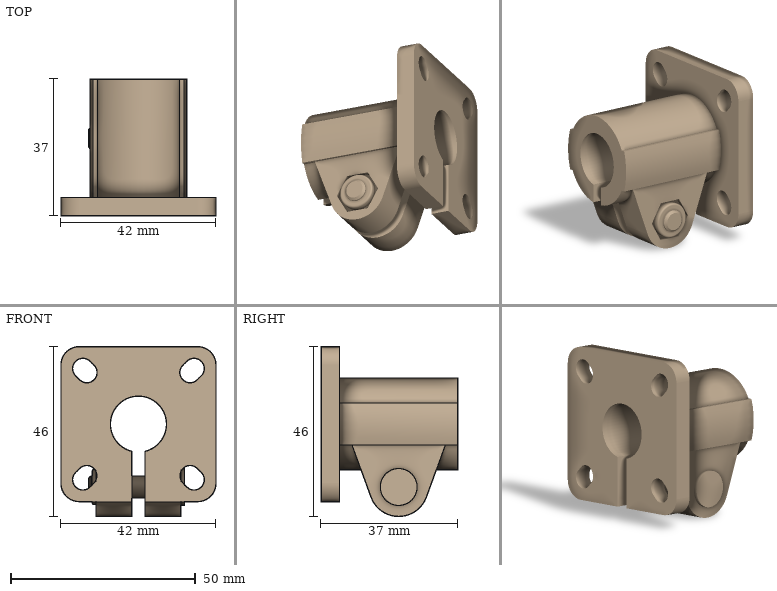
import cadquery as cq
import math

PLATE_SIZE = 42.0
PLATE_THICKNESS = 5.0
PLATE_CORNER_RADIUS = 5.0

SLOT_OFFSET = 14.5
SLOT_WIDTH = 5.5
SLOT_CENTRE_SPACING = 1.5
SLOT_ANGLE = 45.0

TOTAL_LENGTH = 37.0
BARREL_DIAMETER = 25.0
BORE_DIAMETER = 15.1
SPLIT_WIDTH = 3.5

RIB_HALF_SPAN = 13.15
RIB_EDGE_HALF_SPAN = 12.27
RIB_HALF_HEIGHT = 5.7

LUG_HALF_SPAN = 11.5
LUG_TOP_HALF_WIDTH = 12.6
LUG_END_RADIUS = 8.0
BOLT_Y = 21.0
BOLT_Z = -17.0

BOLT_DIAMETER = 6.0
BOLT_TIP_X = -13.5
BOLT_TIP_CHAMFER = 0.6
HEAD_DIAMETER = 9.98
HEAD_PROTRUSION = 1.0

NUT_ACROSS_FLATS = 10.6
NUT_CORNER_DIAMETER = 11.6
NUT_SIDES = 6
NUT_POCKET_DEPTH = 2.0
NUT_SHOULDER_DIAMETER = 9.98
NUT_SHOULDER_DEPTH = 1.0
NUT_SHOULDER_SLOPE = 15.0
COLLAR_DIAMETER = 9.6
COLLAR_PROTRUSION = 1.0
COLLAR_FILLET = 0.5

LUG_FACE_X = -LUG_HALF_SPAN


def bolt_cylinder(diameter, start_x, end_x):
    """Cylinder on the bolt axis between two X positions."""
    return (
        cq.Workplane("YZ", origin=(start_x, BOLT_Y, BOLT_Z))
        .circle(diameter / 2)
        .extrude(end_x - start_x)
    )


def nut_hexagon(start_x, end_x):
    """Hexagonal prism on the bolt axis with two corners along Y."""
    corner_diameter = NUT_ACROSS_FLATS / math.cos(math.pi / NUT_SIDES)
    return (
        cq.Workplane("YZ", origin=(start_x, BOLT_Y, BOLT_Z))
        .polygon(NUT_SIDES, corner_diameter)
        .extrude(end_x - start_x)
    )


def xz_profile():
    """Workplane at Y = 0 for profiles in X and Z; a negative distance extrudes toward +Y."""
    return cq.Workplane("XZ")


def make_plate():
    plate = (
        xz_profile()
        .rect(PLATE_SIZE, PLATE_SIZE)
        .extrude(-PLATE_THICKNESS)
        .edges("|Y")
        .fillet(PLATE_CORNER_RADIUS)
    )
    for side_x in (-1, 1):
        for side_z in (-1, 1):
            slot = (
                xz_profile()
                .center(side_x * SLOT_OFFSET, side_z * SLOT_OFFSET)
                .slot2D(SLOT_CENTRE_SPACING + SLOT_WIDTH, SLOT_WIDTH, side_x * side_z * SLOT_ANGLE)
                .extrude(-PLATE_THICKNESS)
            )
            plate = plate.cut(slot)
    return plate


def make_barrel():
    ribs = (
        xz_profile()
        .moveTo(-RIB_EDGE_HALF_SPAN, RIB_HALF_HEIGHT)
        .lineTo(RIB_EDGE_HALF_SPAN, RIB_HALF_HEIGHT)
        .threePointArc((RIB_HALF_SPAN, 0), (RIB_EDGE_HALF_SPAN, -RIB_HALF_HEIGHT))
        .lineTo(-RIB_EDGE_HALF_SPAN, -RIB_HALF_HEIGHT)
        .threePointArc((-RIB_HALF_SPAN, 0), (-RIB_EDGE_HALF_SPAN, RIB_HALF_HEIGHT))
        .close()
        .extrude(-TOTAL_LENGTH)
    )
    return xz_profile().circle(BARREL_DIAMETER / 2).extrude(-TOTAL_LENGTH).union(ribs)


def make_lugs():
    """Both lugs as one tapered block whose sides run tangent into the rounded end."""
    top_height = -RIB_HALF_HEIGHT - BOLT_Z
    reach = math.hypot(LUG_TOP_HALF_WIDTH, top_height)
    tangent_angle = math.atan2(top_height, LUG_TOP_HALF_WIDTH) - math.acos(LUG_END_RADIUS / reach)
    tangent_y = LUG_END_RADIUS * math.cos(tangent_angle)
    tangent_z = LUG_END_RADIUS * math.sin(tangent_angle)
    return (
        cq.Workplane("YZ", origin=(LUG_FACE_X, BOLT_Y, BOLT_Z))
        .moveTo(-LUG_TOP_HALF_WIDTH, top_height)
        .lineTo(LUG_TOP_HALF_WIDTH, top_height)
        .lineTo(tangent_y, tangent_z)
        .threePointArc((0, -LUG_END_RADIUS), (-tangent_y, tangent_z))
        .close()
        .extrude(2 * LUG_HALF_SPAN)
    )


def make_bolt():
    shank = bolt_cylinder(BOLT_DIAMETER, BOLT_TIP_X, LUG_HALF_SPAN)
    shank = shank.faces("<X").chamfer(BOLT_TIP_CHAMFER)
    head = bolt_cylinder(HEAD_DIAMETER, LUG_HALF_SPAN, LUG_HALF_SPAN + HEAD_PROTRUSION)
    return shank.union(head)


def make_nut():
    """Hexagon with a conical top and rounded-off corners, carrying a round collar."""
    floor_x = LUG_FACE_X + NUT_POCKET_DEPTH
    shoulder_x = LUG_FACE_X + NUT_SHOULDER_DEPTH
    shoulder_radius = NUT_SHOULDER_DIAMETER / 2
    corner_radius = NUT_CORNER_DIAMETER / 2
    cone_drop = (corner_radius - shoulder_radius) * math.tan(math.radians(NUT_SHOULDER_SLOPE))
    turned_blank = (
        cq.Workplane("XY", origin=(0, BOLT_Y, BOLT_Z))
        .moveTo(floor_x, 0)
        .lineTo(shoulder_x, 0)
        .lineTo(shoulder_x, shoulder_radius)
        .lineTo(shoulder_x + cone_drop, corner_radius)
        .lineTo(floor_x, corner_radius)
        .close()
        .revolve(360, (0, 0, 0), (1, 0, 0))
    )
    collar = bolt_cylinder(COLLAR_DIAMETER, LUG_FACE_X - COLLAR_PROTRUSION, floor_x)
    collar = collar.faces("<X").edges().fillet(COLLAR_FILLET)
    return nut_hexagon(shoulder_x, floor_x).intersect(turned_blank).union(collar)


def make_clamp():
    clamp = make_plate().union(make_barrel()).union(make_lugs())
    bore = xz_profile().circle(BORE_DIAMETER / 2).extrude(-TOTAL_LENGTH)
    lug_bottom = LUG_END_RADIUS - BOLT_Z
    split = (
        xz_profile()
        .center(0, -lug_bottom / 2)
        .rect(SPLIT_WIDTH, lug_bottom)
        .extrude(-TOTAL_LENGTH)
    )
    pocket = nut_hexagon(LUG_FACE_X, LUG_FACE_X + NUT_POCKET_DEPTH)
    return clamp.cut(bore).cut(split).cut(pocket)


result = make_clamp().union(make_nut()).union(make_bolt())